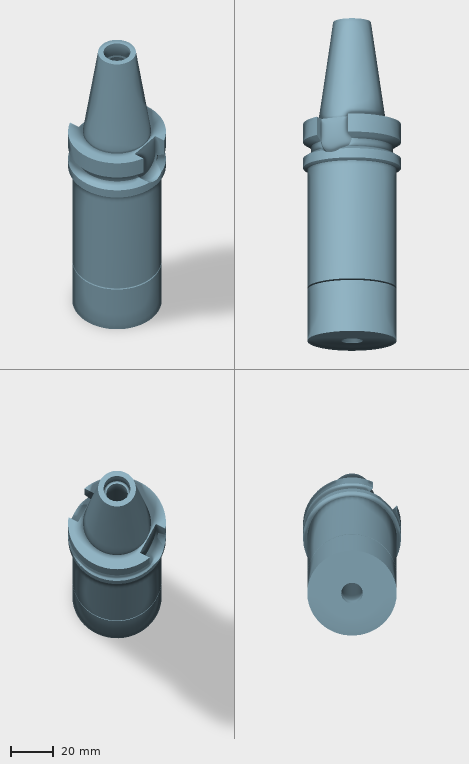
import cadquery as cq

total_height = 153.4

bore_radius = 5.0
tip_bore_radius = 6.3
tip_bore_depth = 7.4

body_radius = 21.0
nut_height = 22.5
ring_thickness = 2.0
ring_gap = 0.8
neck_radius = 16.5

flange_radius = 23.0
groove_radius = 19.2
flange_top = 104.3
upper_rim_height = 8.7
groove_side_height = 2.3
groove_floor_height = 3.4
lower_rim_height = 4.5
flange_chamfer_height = 0.9

taper_tip_radius = 8.9
taper_base_radius = 16.0
taper_collar_height = 0.9

slot_width = 16.1
slot_floor_offset = 16.4
slot_depth = 18.1

ring_top = nut_height + ring_thickness
body_bottom = ring_top + ring_gap
groove_top = flange_top - upper_rim_height
groove_floor_top = groove_top - groove_side_height
groove_floor_bottom = groove_floor_top - groove_floor_height
groove_bottom = groove_floor_bottom - groove_side_height
lower_rim_bottom = groove_bottom - lower_rim_height
flange_bottom = lower_rim_bottom - flange_chamfer_height
taper_base = flange_top + taper_collar_height


def tube(outer_radius, bottom, height):
    """A plain ring around Z with the through bore."""
    return (
        cq.Workplane("XY", origin=(0, 0, bottom))
        .circle(outer_radius)
        .circle(bore_radius)
        .extrude(height)
    )


def holder_blank():
    """The turned holder: neck, body, grooved flange, taper and stepped bore."""
    profile = [
        (bore_radius, ring_top),
        (neck_radius, ring_top),
        (neck_radius, body_bottom),
        (body_radius, body_bottom),
        (body_radius, flange_bottom),
        (flange_radius, lower_rim_bottom),
        (flange_radius, groove_bottom),
        (groove_radius, groove_floor_bottom),
        (groove_radius, groove_floor_top),
        (flange_radius, groove_top),
        (flange_radius, flange_top),
        (taper_base_radius, flange_top),
        (taper_base_radius, taper_base),
        (taper_tip_radius, total_height),
        (tip_bore_radius, total_height),
        (tip_bore_radius, total_height - tip_bore_depth),
        (bore_radius, total_height - tip_bore_depth),
    ]
    return cq.Workplane("XZ").polyline(profile).close().revolve(360, (0, 0, 0), (0, 1, 0))


def drive_slot(side):
    """The space of one round-ended drive slot; side is +1 for +X and -1 for -X."""
    half_width = slot_width / 2
    slot_bottom = flange_top - slot_depth
    return (
        cq.Workplane("YZ", origin=(side * slot_floor_offset, 0, 0))
        .moveTo(-half_width, flange_top)
        .lineTo(-half_width, slot_bottom + half_width)
        .threePointArc((0, slot_bottom), (half_width, slot_bottom + half_width))
        .lineTo(half_width, flange_top)
        .close()
        .extrude(side * (flange_radius - slot_floor_offset))
    )


def make_holder():
    holder = holder_blank()
    for side in (-1, 1):
        holder = holder.cut(drive_slot(side))
    return holder


holder = make_holder()
ring = tube(body_radius, nut_height, ring_thickness)
nut = tube(body_radius, 0, nut_height)

result = cq.Compound.makeCompound([holder.val(), ring.val(), nut.val()])